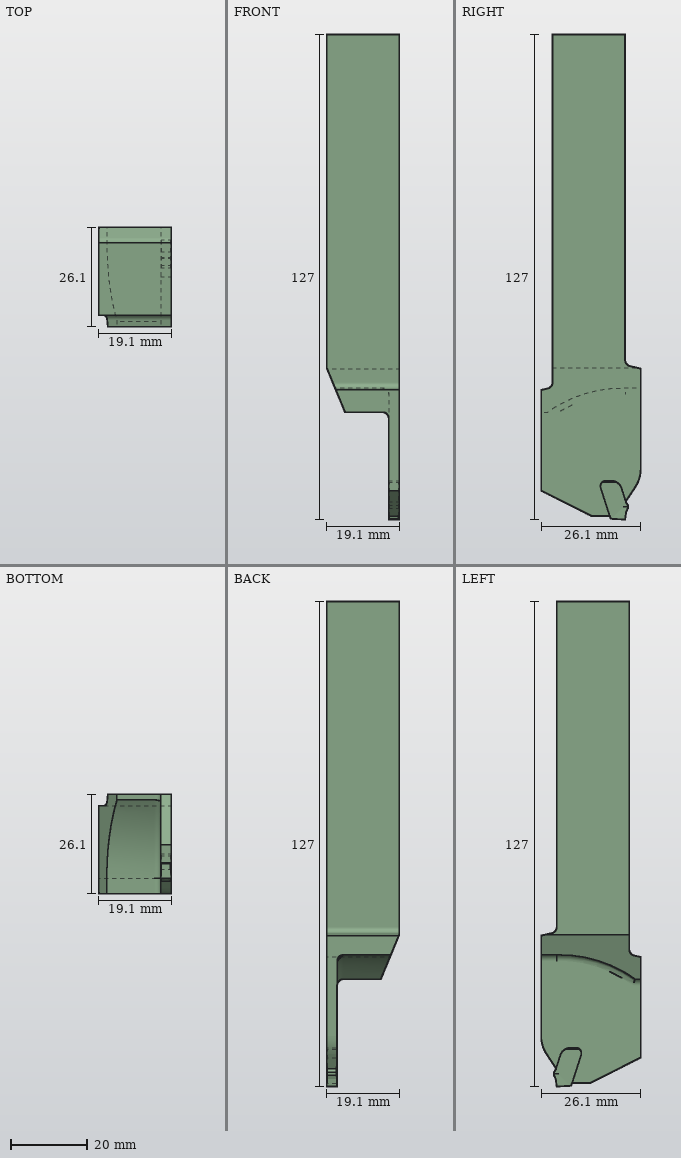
import cadquery as cq
import math


total_height = 127.0
shank_size = 19.05
fillet_radius = 1.5875

head_back_y = -2.99
head_front_y = 23.13
back_shoulder_z = 33.95
front_shoulder_z = 39.55
shoulder_slope = math.radians(13)
slant_angle = math.radians(22.5)
slant_top_z = 39.78

blade_thickness = 2.8
ledge_top_z = 34.5
ledge_bottom_z = 28.1
ledge_radius = 33.7
ledge_crest_y = 18.3
void_margin = 5.0

blade_bottom_z = 0.95
blade_slope_top_z = 7.6
blade_slope_bottom_y = 10.2
blade_arc_radius = 8.5
blade_arc_top_z = 13.25
blade_flank_angle = math.radians(33.5)

insert_body_thickness = 2.36
tip_overhang = 0.01
insert_tip_thickness = blade_thickness + 2 * tip_overhang
insert_tilt = math.radians(17.8)
insert_heel = (15.23, 0.2)
insert_top_z = 10.15
seat_gap = 0.3
insert_front_radius = 2.8
insert_back_radius = 1.4
rake_points = [(19.24, 4.61), (19.78, 3.73), (19.78, 3.02), (19.31, 2.0)]
insert_tip = (shank_size, 0.0)
flare_top_z = 3.4
flare_start = (18.67, 3.4)
flare_end = (16.18, 0.92)

blade_face_x = shank_size - blade_thickness
blade_mid_x = shank_size - blade_thickness / 2


def holder_block():
    """Shank, head and blade outline in the YZ plane, extruded over the full shank width."""
    back_corner_z = back_shoulder_z - head_back_y * math.tan(shoulder_slope)
    front_corner_z = front_shoulder_z + (head_front_y - shank_size) * math.tan(shoulder_slope)
    arc_centre_y = head_front_y - blade_arc_radius
    arc_mid = (
        arc_centre_y + blade_arc_radius * math.cos(blade_flank_angle / 2),
        blade_arc_top_z - blade_arc_radius * math.sin(blade_flank_angle / 2),
    )
    arc_end = (
        arc_centre_y + blade_arc_radius * math.cos(blade_flank_angle),
        blade_arc_top_z - blade_arc_radius * math.sin(blade_flank_angle),
    )
    flank_end_y = arc_end[0] - (arc_end[1] - blade_bottom_z) * math.tan(blade_flank_angle)
    block = (
        cq.Workplane("YZ")
        .moveTo(0, total_height)
        .lineTo(shank_size, total_height)
        .lineTo(shank_size, front_corner_z)
        .lineTo(head_front_y, front_shoulder_z)
        .lineTo(head_front_y, blade_arc_top_z)
        .threePointArc(arc_mid, arc_end)
        .lineTo(flank_end_y, blade_bottom_z)
        .lineTo(blade_slope_bottom_y, blade_bottom_z)
        .lineTo(head_back_y, blade_slope_top_z)
        .lineTo(head_back_y, back_shoulder_z)
        .lineTo(0, back_corner_z)
        .close()
        .extrude(shank_size)
    )
    for corner in [(0, back_corner_z), (shank_size, front_corner_z)]:
        corner_edge = cq.selectors.NearestToPointSelector((shank_size / 2, *corner))
        block = block.edges(corner_edge).fillet(fillet_radius)
    return block


def flat_void(back_y, roof_z):
    """Flat-roofed space beside the blade, from back_y forward, rounded where its roof meets the blade."""
    depth = head_front_y + void_margin - back_y
    return (
        cq.Workplane("XY", origin=(0, back_y, -void_margin))
        .box(blade_face_x, depth, roof_z + void_margin, centered=False)
        .edges(">X and >Z")
        .fillet(fillet_radius)
    )


def ledge_void():
    """Space beside the blade under the ledge: flat at the front and back, arched in between."""
    arch_centre_z = ledge_top_z - math.sqrt(ledge_radius**2 - (shank_size - ledge_crest_y) ** 2)
    arch = (
        cq.Workplane("YZ")
        .center(ledge_crest_y, arch_centre_z)
        .circle(ledge_radius)
        .extrude(blade_face_x)
        .edges(">X")
        .fillet(fillet_radius)
    )
    front = flat_void(shank_size, ledge_top_z)
    back = flat_void(head_back_y - void_margin, ledge_bottom_z)
    return arch.union(front).union(back)


def slant_wedge():
    """Wedge that slants the head from the shank face down to the ledge."""
    return (
        cq.Workplane("XZ", origin=(0, head_front_y, 0))
        .polyline([(0, slant_top_z), (slant_top_z * math.tan(slant_angle), 0), (0, 0)])
        .close()
        .extrude(head_front_y - head_back_y)
    )


def insert_plate(thickness):
    """Tilted insert outline, centred on the blade thickness."""
    rise = insert_top_z - insert_heel[1]
    back_top_y = insert_heel[0] - rise * math.tan(insert_tilt)
    front_top_y = rake_points[0][0] - (insert_top_z - rake_points[0][1]) * math.tan(insert_tilt)
    top_points = [(back_top_y, insert_top_z), (front_top_y, insert_top_z)]
    plate = (
        cq.Workplane("YZ", origin=(blade_mid_x, 0, 0))
        .polyline([insert_heel, *top_points, *rake_points, insert_tip])
        .close()
        .extrude(thickness / 2, both=True)
    )
    for corner, radius in zip(top_points, [insert_back_radius, insert_front_radius]):
        corner_edge = cq.selectors.NearestToPointSelector((blade_mid_x, *corner))
        plate = plate.edges(corner_edge).fillet(radius)
    return plate


def flare_prism():
    """Prism that widens evenly from the flare line to the cutting tip."""
    line = cq.Vector(0, flare_end[0] - flare_start[0], flare_end[1] - flare_start[1])
    toward_tip = line.cross(cq.Vector(-1, 0, 0)).normalized()
    start = cq.Vector(blade_mid_x, *flare_start)
    reach = (cq.Vector(blade_mid_x, *insert_tip) - start).dot(toward_tip)
    plane = cq.Plane(origin=start.toTuple(), xDir=toward_tip.toTuple(), normal=line.toTuple())
    half_body = insert_body_thickness / 2
    half_tip = insert_tip_thickness / 2
    return (
        cq.Workplane(plane)
        .polyline([(0, -half_body), (reach, -half_tip), (reach, half_tip), (0, half_body)])
        .close()
        .extrude(2 * line.Length, both=True)
    )


def region_below(z):
    """Block covering the whole insert up to height z."""
    side = 4 * shank_size
    return cq.Workplane("XY").box(side, side, 2 * z)


def cutting_insert():
    """Insert with a flared cutting end, its top trimmed to leave a gap to the end of its pocket."""
    body = insert_plate(insert_body_thickness).intersect(region_below(insert_top_z - seat_gap))
    flare = insert_plate(insert_tip_thickness).intersect(flare_prism()).intersect(region_below(flare_top_z))
    return body.union(flare)


insert_pocket = insert_plate(2 * blade_thickness)
holder = holder_block().cut(ledge_void()).cut(slant_wedge()).cut(insert_pocket)
insert = cutting_insert()

result = cq.Compound.makeCompound([*holder.solids().vals(), *insert.solids().vals()])